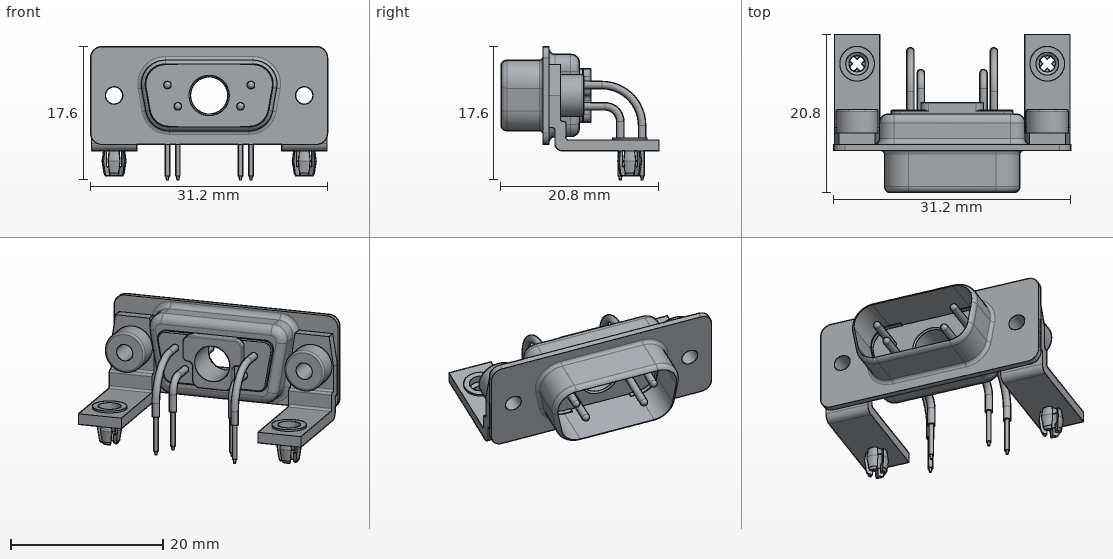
import cadquery as cq
import math

overlap = 0.003

flange_width = 31.2
flange_height = 12.88
flange_thickness = 0.8
flange_corner = 1.5
screw_x = 12.5
screw_hole_diameter = 2.25

side_slope = math.radians(10)
shell_depth = 5.5
shell_half_height = 4.65
shell_corner = 3.15
shell_center_x = 5.77
shell_wall = 0.5
shell_rim_radius = 0.87
shell_foot_radius = 0.47

rear_end = 4.8
rear_half_height = 5.43
rear_corner = 1.93
rear_center_x = 7.65
rear_edge_radius = 1.15
rear_foot_radius = 0.75

insulator_face = 0.6
insulator_half_height = 3.52
insulator_end = 5.35
insulator_corner = 1.15
insulator_center_x = 6.85
insulator_chamfer = 0.15
lip_thickness = 0.1
lip_depth = 0.6
lip_start_x = 4.15
block_end = 6.33
block_half_width = 4.12
block_step = 1.37
block_corner = 1.0
block_edge_radius = 0.12
bore_diameter = 4.87
bore_chamfer = 0.22

pins = [(5.5, 1.37, 13.05, 5.3), (4.12, -1.45, 10.17, 2.0)]
pin_radius = 0.5
pin_front = -5.15
leg_radius = 0.3
leg_shoulder = -10.57
leg_end = -11.15
leg_tip_radius = 0.22
leg_tip_end_radius = 0.12

boss_diameter = 5.55
boss_end = 5.4
boss_edge_radius = 0.28

bracket_width = 6.0
bracket_top = 4.1
bracket_top_width = 4.75
bracket_bottom = -7.3
bracket_end = 15.28
bracket_thickness = 1.47
bracket_step = 0.75
front_step_z = -4.25
rear_step_z = -3.4
bracket_bend_radius = 1.0
bracket_small_radius = 0.3

lock_y = 11.4
lock_flange_radius = 2.28
lock_flange_height = 0.25
lock_mouth_radius = 1.5
lock_mouth_depth = 1.0
lock_cone_depth = 0.37
lock_bore_radius = 1.05
lock_neck_radius = 1.4
lock_belly_radius = 1.6
lock_belly_z = -8.65
lock_shoulder_radius = 1.35
lock_shoulder_z = -10.2
lock_end_radius = 1.15
lock_end_z = -10.57
lock_tip_z = -9.35
lock_slot = 0.8


def on_plane_y(y):
    """Sketch plane with X to the right and Z up; a positive extrusion goes toward -Y."""
    return cq.Workplane("XZ", origin=(0, y, 0))


def d_prism(y_front, y_back, half_height, corner, center_x):
    """D-shaped prism; the upper corner arcs are centred at X = +-center_x."""
    center_z = half_height - corner
    lower_x = center_x - 2 * center_z * math.tan(side_slope)

    def corner_point(x, z, degrees):
        angle = math.radians(degrees)
        return (x + corner * math.cos(angle), z + corner * math.sin(angle))

    def mirrored(point):
        return (-point[0], point[1])

    slope = math.degrees(side_slope)
    top = corner_point(center_x, center_z, 90)
    top_mid = corner_point(center_x, center_z, 45)
    side_top = corner_point(center_x, center_z, -slope)
    side_bottom = corner_point(lower_x, -center_z, -slope)
    bottom_mid = corner_point(lower_x, -center_z, -45)
    bottom = corner_point(lower_x, -center_z, -90)
    return (
        on_plane_y(y_back)
        .moveTo(*mirrored(top))
        .lineTo(*top)
        .threePointArc(top_mid, side_top)
        .lineTo(*side_bottom)
        .threePointArc(bottom_mid, bottom)
        .lineTo(*mirrored(bottom))
        .threePointArc(mirrored(bottom_mid), mirrored(side_bottom))
        .lineTo(*mirrored(side_top))
        .threePointArc(mirrored(top_mid), mirrored(top))
        .close()
        .extrude(y_back - y_front)
    )


def shell_cavity(y_back, inset):
    """Inside of the mating shell, set in from its outer surface."""
    return d_prism(
        -2 * shell_depth, y_back, shell_half_height - inset, shell_corner - inset, shell_center_x
    )


def edges_at(y, half_width, half_height):
    """Selector for the edges lying in one Y plane around the axis."""
    low = (-half_width, y - overlap, -half_height)
    high = (half_width, y + overlap, half_height)
    return cq.selectors.BoxSelector(low, high, boundingbox=True)


def make_flange_and_shells():
    flange = (
        on_plane_y(flange_thickness)
        .rect(flange_width, flange_height)
        .extrude(flange_thickness)
        .edges("|Y")
        .fillet(flange_corner)
    )
    rim_drop = shell_rim_radius - math.sqrt(shell_rim_radius**2 - (shell_rim_radius - shell_wall) ** 2)
    shell = d_prism(-shell_depth - rim_drop, overlap, shell_half_height, shell_corner, shell_center_x)
    shell = shell.faces("<Y").edges().fillet(shell_rim_radius)
    rear = d_prism(flange_thickness - overlap, rear_end, rear_half_height, rear_corner, rear_center_x)
    rear = rear.faces(">Y").edges().fillet(rear_edge_radius)
    body = flange.union(shell).union(rear)
    inner_width = flange_width / 2 - flange_corner - overlap
    inner_height = flange_height / 2 - overlap
    body = body.edges(edges_at(0, inner_width, inner_height)).fillet(shell_foot_radius)
    body = body.edges(edges_at(flange_thickness, inner_width, inner_height)).fillet(rear_foot_radius)
    return body.cut(shell_cavity(insulator_face, shell_wall))


def make_lips():
    """Thin skirts lining the shell on both sides of the insulator face."""
    lip = shell_cavity(insulator_face, shell_wall).cut(
        shell_cavity(insulator_face, shell_wall + lip_thickness)
    )
    zone_width = flange_width / 2 - lip_start_x
    zones = (
        on_plane_y(insulator_face)
        .pushPoints([(side * (lip_start_x + zone_width / 2), 0) for side in (-1, 1)])
        .rect(zone_width, flange_height)
        .extrude(lip_depth)
    )
    return lip.intersect(zones)


def make_insulator_back():
    plate = d_prism(
        rear_end - overlap, insulator_end, insulator_half_height, insulator_corner, insulator_center_x
    )
    plate = plate.faces(">Y").edges().chamfer(insulator_chamfer)
    lower_half_width = block_half_width - block_step
    radius = block_step / 2
    half_height = insulator_half_height
    upper, lower = block_half_width, lower_half_width
    block = (
        on_plane_y(block_end)
        .moveTo(-upper, half_height)
        .lineTo(upper, half_height)
        .lineTo(upper, radius)
        .radiusArc((upper - radius, 0), radius)
        .radiusArc((lower, -radius), -radius)
        .lineTo(lower, -half_height)
        .lineTo(-lower, -half_height)
        .lineTo(-lower, -radius)
        .radiusArc((-upper + radius, 0), -radius)
        .radiusArc((-upper, radius), radius)
        .close()
        .extrude(block_end - rear_end)
        .edges("|Y and (>Z or <Z)")
        .fillet(block_corner)
        .faces(">Y")
        .edges()
        .fillet(block_edge_radius)
    )
    return plate.union(block)


def make_bore():
    """Central through hole, chamfered at the insulator face."""
    radius = bore_diameter / 2
    bore = on_plane_y(2 * block_end).circle(radius).extrude(2 * block_end - insulator_face)
    return bore.union(
        on_plane_y(insulator_face + bore_chamfer)
        .circle(radius)
        .workplane(offset=bore_chamfer)
        .circle(radius + bore_chamfer)
        .loft()
    )


def make_pin(x, z, leg_y, bend_radius):
    """Round contact bent down into a thinner leg with a stepped, tapered tip."""
    plate_top = bracket_bottom + bracket_thickness
    straight_start = pin_front + pin_radius
    bend_start = leg_y - bend_radius
    bend_end_z = z - bend_radius
    offset = bend_radius * math.sin(math.radians(45))
    path = (
        cq.Workplane("YZ", origin=(x, 0, 0))
        .moveTo(straight_start, z)
        .lineTo(bend_start, z)
        .threePointArc((bend_start + offset, bend_end_z + offset), (leg_y, bend_end_z))
        .lineTo(leg_y, plate_top)
    )
    rod = cq.Workplane("XZ", origin=(x, straight_start, z)).circle(pin_radius).sweep(path)
    nose = cq.Workplane("XY", origin=(x, straight_start, z)).sphere(pin_radius)
    leg = (
        cq.Workplane("XZ", origin=(x, leg_y, 0))
        .polyline(
            [
                (0, plate_top + overlap),
                (leg_radius, plate_top + overlap),
                (leg_radius, leg_shoulder),
                (leg_tip_radius, leg_shoulder),
                (leg_tip_end_radius, leg_end),
                (0, leg_end),
            ]
        )
        .close()
        .revolve(360, (0, 0, 0), (0, 1, 0))
    )
    return rod.union(nose).union(leg)


def make_bracket(x):
    """L-shaped bracket whose upper half tapers toward the top."""
    upright_back = flange_thickness + bracket_thickness
    plate_top = bracket_bottom + bracket_thickness
    profile = (
        cq.Workplane("YZ", origin=(x - bracket_width / 2, 0, 0))
        .moveTo(flange_thickness - overlap, bracket_top)
        .lineTo(flange_thickness - overlap, front_step_z)
        .lineTo(flange_thickness + bracket_step, front_step_z)
        .lineTo(flange_thickness + bracket_step, bracket_bottom)
        .lineTo(bracket_end, bracket_bottom)
        .lineTo(bracket_end, plate_top)
        .lineTo(upright_back + bracket_step, plate_top)
        .lineTo(upright_back + bracket_step, rear_step_z)
        .lineTo(upright_back, rear_step_z)
        .lineTo(upright_back, bracket_top)
        .close()
        .extrude(bracket_width)
    )

    def round_edge(solid, y, z, radius):
        return solid.edges(cq.selectors.NearestToPointSelector((x, y, z))).fillet(radius)

    profile = round_edge(profile, flange_thickness + bracket_step, bracket_bottom, bracket_bend_radius)
    for y, z in [
        (flange_thickness + bracket_step, front_step_z),
        (upright_back + bracket_step, plate_top),
        (upright_back + bracket_step, rear_step_z),
        (upright_back, rear_step_z),
    ]:
        profile = round_edge(profile, y, z, bracket_small_radius)
    half_width = bracket_width / 2
    half_top = bracket_top_width / 2
    outline = (
        on_plane_y(bracket_end)
        .polyline(
            [
                (x - half_width, bracket_bottom),
                (x + half_width, bracket_bottom),
                (x + half_width, 0),
                (x + half_top, bracket_top),
                (x - half_top, bracket_top),
                (x - half_width, 0),
            ]
        )
        .close()
        .extrude(bracket_end)
    )
    return profile.intersect(outline)


def make_boss(x):
    boss = on_plane_y(boss_end).center(x, 0).circle(boss_diameter / 2).extrude(boss_end - flange_thickness)
    return boss.faces(">Y").edges().fillet(boss_edge_radius)


def lock_revolve(x, points):
    """Solid of revolution about the board lock's vertical axis, from (radius, Z) points."""
    return (
        cq.Workplane("XZ", origin=(x, lock_y, 0))
        .polyline(points)
        .close()
        .revolve(360, (0, 0, 0), (0, 1, 0))
    )


def make_lock_hole(x):
    """Wide mouth with a conical floor, then a straight bore down to the prongs' tips."""
    lock_top = bracket_bottom + bracket_thickness + lock_flange_height
    cone_top = lock_top - lock_mouth_depth
    return lock_revolve(
        x,
        [
            (0, lock_top),
            (lock_mouth_radius, lock_top),
            (lock_mouth_radius, cone_top),
            (lock_bore_radius, cone_top - lock_cone_depth),
            (lock_bore_radius, lock_tip_z),
            (0, lock_tip_z),
        ],
    )


def make_lock(x):
    """Board lock: a flange on the bracket and a barrel split into four prongs."""
    plate_top = bracket_bottom + bracket_thickness
    rim = (
        cq.Workplane("XY", origin=(x, lock_y, plate_top))
        .circle(lock_flange_radius)
        .extrude(lock_flange_height)
    )
    barrel = lock_revolve(
        x,
        [
            (0, bracket_bottom),
            (lock_neck_radius, bracket_bottom),
            (lock_belly_radius, lock_belly_z),
            (lock_shoulder_radius, lock_shoulder_z),
            (lock_end_radius, lock_end_z),
            (0, lock_end_z),
        ],
    )
    for angle in (45, -45):
        slot = (
            cq.Workplane("XY", origin=(x, lock_y, lock_end_z))
            .transformed(rotate=(0, 0, angle))
            .rect(4 * lock_belly_radius, lock_slot)
            .extrude(bracket_bottom - lock_end_z)
        )
        barrel = barrel.cut(slot)
    return rim.union(barrel)


result = make_flange_and_shells().union(make_lips()).union(make_insulator_back()).cut(make_bore())

for side in (-1, 1):
    for pin_x, pin_z, leg_y, bend_radius in pins:
        result = result.union(make_pin(side * pin_x, pin_z, leg_y, bend_radius))
    center = side * screw_x
    result = result.union(make_bracket(center)).union(make_boss(center)).union(make_lock(center))
    result = result.cut(make_lock_hole(center))

screw_holes = (
    on_plane_y(boss_end)
    .pushPoints([(-screw_x, 0), (screw_x, 0)])
    .circle(screw_hole_diameter / 2)
    .extrude(boss_end)
)
result = result.cut(screw_holes)